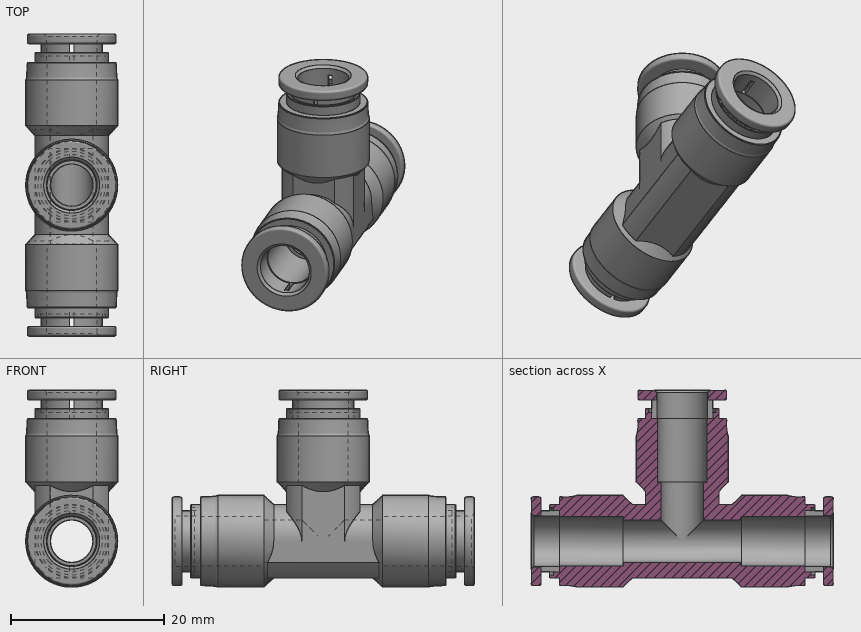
import cadquery as cq
import math

port_length = 19.7

flange_radius = 5.8
flange_thickness = 1.3
flange_edge_fillet = 0.3
neck_radius = 4.0
neck_length = 1.1

collar_radius = 4.8
collar_length = 1.3
collar_bore_radius = 4.4
collar_gap_depth = 0.5

cap_tip_radius = 5.8
cap_base_radius = 5.9
cap_length = 2.0
bevel_length = 0.3
body_radius = 6.0
body_length = 5.95
cone_length = 1.3

rim_chamfer = 0.1

tee_half_width = 4.8
flat_half_width = 2.8
tee_corner_radius = math.hypot(tee_half_width, flat_half_width)

passage_radius = 2.75
sleeve_radius = 3.3
sleeve_depth = 3.7
socket_radius = 3.2
socket_depth = 12.0
mouth_radius = 3.65
mouth_depth = 0.35

slit_width = 0.55

flange_bottom = port_length - flange_thickness
collar_top = flange_bottom - neck_length
cap_top = collar_top - collar_length
bevel_top = cap_top - cap_length
body_top = bevel_top - bevel_length
body_bottom = body_top - body_length
cone_bottom = body_bottom - cone_length


def port_shell():
    """Solid of revolution for one port, pointing up along Z."""
    outline = [
        (0, cone_bottom),
        (tee_half_width, cone_bottom),
        (body_radius, body_bottom),
        (body_radius, body_top),
        (cap_base_radius, bevel_top),
        (cap_tip_radius, cap_top - rim_chamfer),
        (cap_tip_radius - rim_chamfer, cap_top),
        (collar_radius, cap_top),
        (collar_radius, collar_top - rim_chamfer),
        (collar_radius - rim_chamfer, collar_top),
        (collar_bore_radius, collar_top),
        (collar_bore_radius, collar_top - collar_gap_depth),
        (neck_radius, collar_top - collar_gap_depth),
        (neck_radius, flange_bottom),
        (0, flange_bottom),
    ]
    shell = cq.Workplane("XZ").polyline(outline).close().revolve(360, (0, 0), (0, 1))
    flange = (
        cq.Workplane("XY")
        .workplane(offset=flange_bottom)
        .circle(flange_radius)
        .extrude(flange_thickness)
        .edges()
        .fillet(flange_edge_fillet)
    )
    return shell.union(flange)


def port_cavity():
    """Passage, tube socket, sleeve bore, flared mouth and slit of one port, along Z."""
    socket_floor = port_length - socket_depth
    sleeve_floor = port_length - sleeve_depth
    outline = [
        (0, 0),
        (passage_radius, 0),
        (passage_radius, socket_floor),
        (socket_radius, socket_floor),
        (socket_radius, sleeve_floor),
        (sleeve_radius, sleeve_floor),
        (sleeve_radius, port_length - mouth_depth),
        (mouth_radius, port_length),
        (0, port_length),
    ]
    bore = cq.Workplane("XZ").polyline(outline).close().revolve(360, (0, 0), (0, 1))
    slit_height = flange_bottom - sleeve_floor
    slit = (
        cq.Workplane("XY")
        .workplane(offset=sleeve_floor)
        .rect(slit_width, 2 * body_radius)
        .extrude(slit_height)
    )
    ring_limit = cq.Workplane("XY").workplane(offset=sleeve_floor).circle(neck_radius).extrude(slit_height)
    return bore.union(slit.intersect(ring_limit))


def flatted_bar(length):
    """Round bar rising from Z = 0 with four flats parallel to X and Y."""
    bar = cq.Workplane("XY").circle(tee_corner_radius).extrude(length)
    flats = cq.Workplane("XY").rect(2 * tee_half_width, 2 * tee_half_width).extrude(length)
    return bar.intersect(flats)


def tee_core():
    """Flatted stem on a run that is round above and flatted below its axis."""
    stem = flatted_bar(body_bottom)
    run_length = 2 * body_bottom
    round_run = cq.Workplane("XZ").circle(tee_half_width).extrude(body_bottom, both=True)
    flatted_run = flatted_bar(run_length).translate((0, 0, -body_bottom)).rotate((0, 0, 0), (1, 0, 0), 90)
    lower_half = (
        cq.Workplane("XY")
        .rect(2 * body_radius, run_length)
        .extrude(-body_radius)
    )
    return stem.union(round_run).union(flatted_run.intersect(lower_half))


def on_each_port(shape):
    """Copies of an upward-pointing shape on the -Y, +Z and +Y ports."""
    return [shape.rotate((0, 0, 0), (1, 0, 0), angle) for angle in (90, 0, -90)]


result = tee_core()
for shell in on_each_port(port_shell()):
    result = result.union(shell)
for cavity in on_each_port(port_cavity()):
    result = result.cut(cavity)